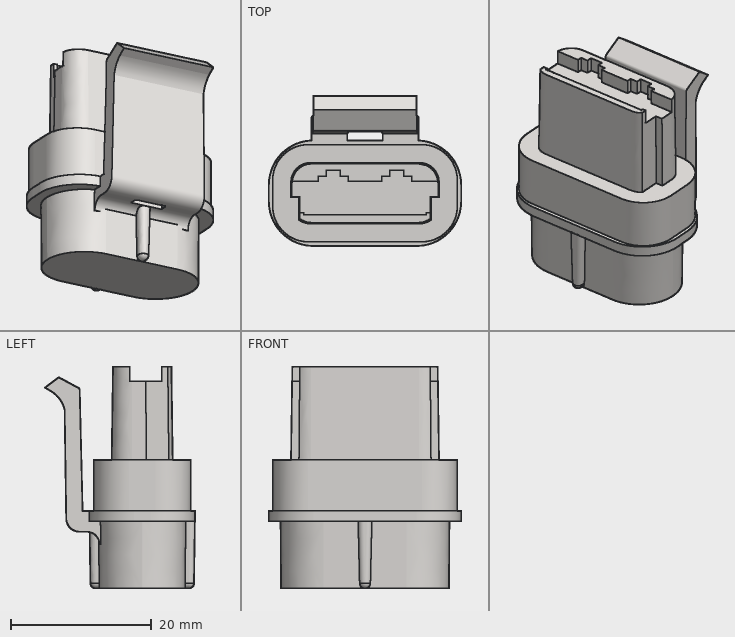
import cadquery as cq
import math

flange_bottom = 9.5
flange_top = 11.02
collar_top = 18.27
plug_top = 31.5

flange_x, flange_y, flange_radius = 27.35, 15.03, 6.35
collar_x, collar_y, collar_radius = 26.2, 13.8, 5.05
skirt_x, skirt_y, skirt_radius = 24.0, 12.35, 6.15
skirt_draft = 0.4

plug_x, plug_y, plug_radius = 21.05, 8.7, 2.87
plug_draft = 0.8
key_x = 18.75
key_shoulder_y = -0.6
key_draft = 0.5

recess_depth = 2.08
recess_front, recess_back = -2.77, 1.73
front_relief_x, front_relief_depth = 17.32, 0.3
notch_spacing = 8.98
notch_steps = [(4.28, 0.7), (1.95, 1.5)]

rib_radius = 0.75
rib_top_width, rib_top_reach = 1.95, 7.5
rib_end_width, rib_end_reach = 1.55, 7.37

overall_y = 21.33

arm_bottom = 8.03
arm_base_width, arm_head_width = 15.5, 14.68
arm_neck_z = 25.35
arm_head_z = 30.0
arm_tip_y = overall_y - flange_y / 2
arm_inner_y, arm_outer_y = 8.45, 10.8
head_inner_start = (8.85, 28.05)
head_inner_mid = (8.88, 28.3)
head_inner_end = (9.05, 28.48)
head_peak_y = 11.85
head_tip_z = 28.5
head_underside_end = (12.63, 27.78)
head_underside_mid = (11.78, 26.95)
neck_outer_y = 11.02
bend_radius = 1.95
root_radius = 1.73
root_inset = 0.1
root_overlap = 0.3
window_x, window_radius = 4.98, 0.3
window_back = 8.75


def rounded_block(x_size, y_size, radius, bottom, top, draft=0):
    """Vertical tier with rounded corners; a positive draft narrows it upward."""
    outline = cq.Sketch().rect(x_size, y_size).vertices().fillet(radius)
    return cq.Workplane("XY", origin=(0, 0, bottom)).placeSketch(outline).extrude(top - bottom, taper=draft)


def box_between(x_size, x_center, y_min, y_max, z_min, z_max):
    return cq.Workplane("XY").box(x_size, y_max - y_min, z_max - z_min).translate(
        (x_center, (y_min + y_max) / 2, (z_min + z_max) / 2))


def make_plug():
    height = plug_top - collar_top
    plug = rounded_block(plug_x, plug_y, plug_radius, collar_top, plug_top, plug_draft)
    key = cq.Workplane("XY", origin=(0, 0, collar_top)).rect(key_x, 2 * plug_y).extrude(height, taper=key_draft)
    back = (
        cq.Workplane("XY", origin=(0, key_shoulder_y + plug_y, collar_top))
        .rect(2 * plug_x, 2 * plug_y)
        .extrude(height, taper=key_draft)
    )
    plug = plug.intersect(key.union(back))

    floor = plug_top - recess_depth
    plug = plug.cut(box_between(plug_x, 0, recess_front, recess_back, floor, plug_top))
    relief_front = recess_front - front_relief_depth
    plug = plug.cut(box_between(front_relief_x, 0, relief_front, recess_back, floor, plug_top))
    for side in (-1, 1):
        for width, depth in notch_steps:
            notch_back = recess_back + depth
            notch = box_between(width, side * notch_spacing / 2, recess_front, notch_back, floor, plug_top)
            plug = plug.cut(notch)
    return plug


def rib_section(width, reach):
    """Plan section of the front rib: a bar running out from the part axis, rounded at its tip."""
    bar = cq.Sketch().rect(width, 2 * reach)
    return bar.vertices("<Y").fillet(rib_radius)


def make_front_rib():
    """Tapered rib with rounded outer corners and a domed lower end."""
    height = flange_bottom - rib_radius
    shaft = (
        cq.Workplane("XY", origin=(0, 0, rib_radius))
        .placeSketch(
            rib_section(rib_end_width, rib_end_reach),
            rib_section(rib_top_width, rib_top_reach).moved(cq.Location(cq.Vector(0, 0, height))),
        )
        .loft()
    )
    axis_y = rib_end_reach - rib_radius
    tip = cq.Workplane("XY").sphere(rib_radius).translate((0, -axis_y, rib_radius))
    web = cq.Workplane("XZ", origin=(0, 0, rib_radius)).circle(rib_radius).extrude(axis_y)
    rib = shaft.union(tip).union(web)
    return rib.intersect(box_between(flange_x, 0, -flange_y, -flange_y / 4, 0, flange_top))


def make_arm():
    root_y = skirt_y / 2 - root_inset
    inside_y = root_y - root_overlap
    bend_y = arm_outer_y - bend_radius
    bend_z = arm_bottom + bend_radius
    diagonal = math.sqrt(0.5)
    root_center_y = root_y + root_radius
    root_center_z = arm_bottom - root_radius
    profile = (
        cq.Workplane("YZ")
        .moveTo(inside_y, flange_top)
        .lineTo(arm_inner_y, flange_top)
        .lineTo(*head_inner_start)
        .threePointArc(head_inner_mid, head_inner_end)
        .lineTo(head_peak_y, arm_head_z)
        .lineTo(arm_tip_y, head_tip_z)
        .lineTo(*head_underside_end)
        .threePointArc(head_underside_mid, (neck_outer_y, arm_neck_z))
        .lineTo(arm_outer_y, bend_z)
        .threePointArc(
            (bend_y + bend_radius * diagonal, bend_z - bend_radius * diagonal),
            (bend_y, arm_bottom),
        )
        .lineTo(root_center_y, arm_bottom)
        .threePointArc(
            (root_center_y - root_radius * diagonal, root_center_z + root_radius * diagonal),
            (root_y, root_center_z),
        )
        .lineTo(inside_y, root_center_z)
        .close()
        .extrude(arm_base_width / 2, both=True)
    )
    sides = (
        cq.Workplane("XZ")
        .polyline([
            (-arm_base_width / 2, 0),
            (arm_base_width / 2, 0),
            (arm_head_width / 2, arm_neck_z),
            (arm_head_width / 2, arm_head_z),
            (-arm_head_width / 2, arm_head_z),
            (-arm_head_width / 2, arm_neck_z),
        ])
        .close()
        .extrude(-2 * arm_tip_y)
    )
    window = box_between(window_x, 0, flange_y / 2, window_back, 0, arm_head_z)
    window = window.edges("|Z and >Y").fillet(window_radius)
    return profile.intersect(sides).cut(window)


skirt = rounded_block(skirt_x, skirt_y, skirt_radius, flange_bottom, 0, skirt_draft)
flange = rounded_block(flange_x, flange_y, flange_radius, flange_bottom, flange_top)
collar = rounded_block(collar_x, collar_y, collar_radius, flange_top, collar_top)
front_rib = make_front_rib()
back_rib = front_rib.mirror("XZ")

result = skirt.union(flange).union(collar).union(make_plug()).union(make_arm())
result = result.union(front_rib).union(back_rib)